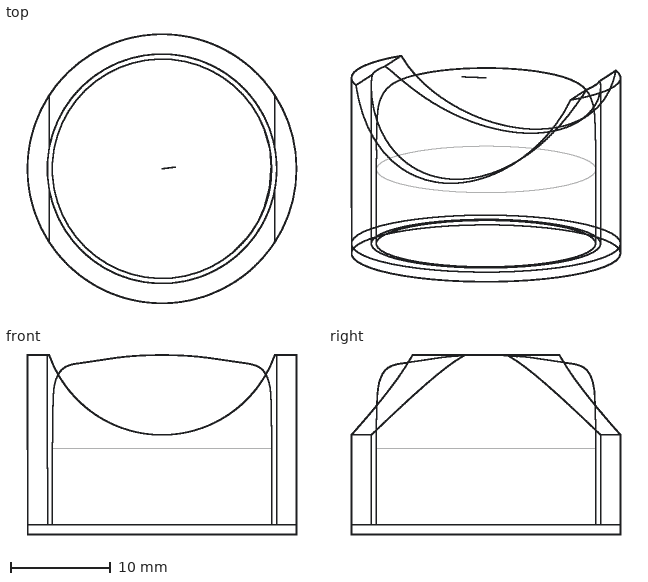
import cadquery as cq

outer_diameter = 27.0
height = 18.0
base_thickness = 1.0

bore_diameter = 23.0
scallop_radius = 12.0
scallop_bottom = 10.0

button_diameter = 22.0
wall_top = 8.65
wall_lean = (10.94, 13.5)
shoulder_low = (10.7, 15.4)
shoulder_mid = (9.95, 16.63)
shoulder_high = (7.9, 17.25)


def make_sleeve():
    """Bored cylinder standing on the rim of the base, scalloped along Y."""
    sleeve = (
        cq.Workplane("XY")
        .workplane(offset=base_thickness)
        .circle(outer_diameter / 2)
        .circle(bore_diameter / 2)
        .extrude(height - base_thickness)
    )
    scallop = (
        cq.Workplane("XZ")
        .center(0, scallop_bottom + scallop_radius)
        .circle(scallop_radius)
        .extrude(outer_diameter / 2, both=True)
    )
    return sleeve.cut(scallop)


def make_button():
    """Base disc and crowned button in one piece, turned about Z."""
    base_radius = outer_diameter / 2
    button_radius = button_diameter / 2
    crown_points = [wall_lean, shoulder_low, shoulder_mid, shoulder_high, (0, height)]
    wall_direction = (0, 1)
    apex_direction = (-1, 0)
    return (
        cq.Workplane("XZ")
        .moveTo(0, 0)
        .lineTo(base_radius, 0)
        .lineTo(base_radius, base_thickness)
        .lineTo(button_radius, base_thickness)
        .lineTo(button_radius, wall_top)
        .spline(crown_points, tangents=[wall_direction, apex_direction], includeCurrent=True)
        .close()
        .revolve(360, (0, 0, 0), (0, 1, 0))
    )


sleeve = make_sleeve()
button = make_button()

result = cq.Compound.makeCompound([sleeve.val(), button.val()])